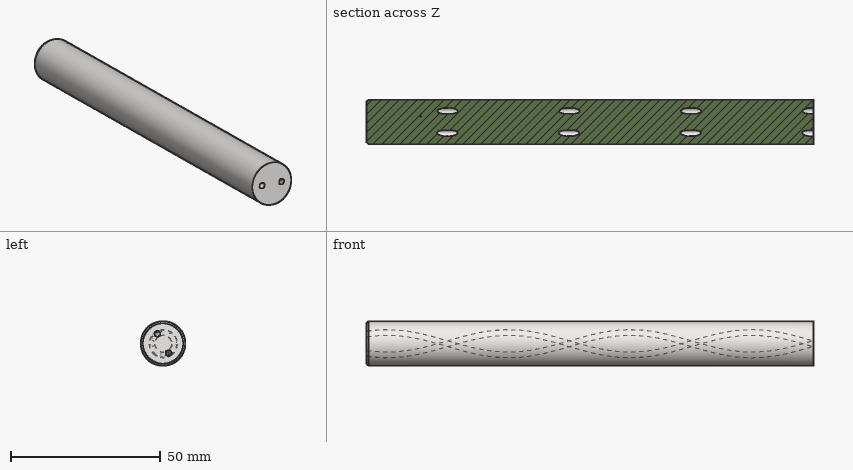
import cadquery as cq
import math

length = 150.0
diameter = 15.0
chamfer = 0.8

channel_diameter = 2.0
channel_spacing = 7.5
channel_count = 2
start_angle = 60.0
helix_angle = 30.0
lead = math.pi * diameter / math.tan(math.radians(helix_angle))
twist = 360.0 * length / lead


def make_rod():
    rod = cq.Workplane("YZ").circle(diameter / 2).extrude(length)
    rod = rod.faces("<X").chamfer(chamfer)
    return rod.translate((-length / 2, 0, 0))


def make_channel(angle):
    """Twisted through channel starting at the given angle on the -X end."""
    return (
        cq.Workplane("YZ", origin=(-length / 2, 0, 0))
        .polarArray(channel_spacing / 2, angle, 360, 1)
        .circle(channel_diameter / 2)
        .twistExtrude(length, twist)
    )


result = make_rod()
for index in range(channel_count):
    result = result.cut(make_channel(start_angle + index * 360.0 / channel_count))